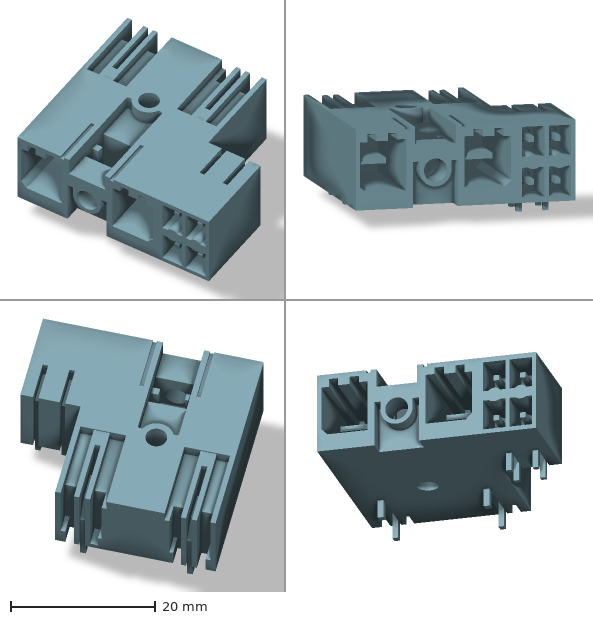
import cadquery as cq


WIDTH = 31.45
DEPTH = 28.3
HEIGHT = 11.42
MAIN_WIDTH = 22.85
WING_DEPTH = 13.35
LEG_LENGTH = 2.58

PITCH = 3.8
CENTRE_X = 11.42
POWER_PITCH = 4 * PITCH
LEFT_POWER_X = CENTRE_X - POWER_PITCH / 2
RIGHT_POWER_X = CENTRE_X + POWER_PITCH / 2
FIRST_SIGNAL_X = 25.45
SIGNAL_X = [FIRST_SIGNAL_X, FIRST_SIGNAL_X + PITCH]

PLATE_THICKNESS = 0.82
POWER_LEG_WIDTH = 1.07
POWER_FRONT_LEG_Y = 19.05
POWER_REAR_Y = POWER_FRONT_LEG_Y + 2 * PITCH + POWER_LEG_WIDTH
BLADE_WIDTH = 4.4
BLADE_BOTTOM = 5.3
BLADE_TOP = 6.1
BLADE_TIP_Y = 6.3
BLADE_REAR_Y = 21.6
PLATE_TOP = 7.55
PLATE_SLOPE_Y = 25.4
PLATE_UNDERSIDE = 2.52

CAVITY_DEPTH = 15.72
CAVITY_OUTER = -3.2
CAVITY_INNER = 3.43
CAVITY_FLOOR = 2.42
CAVITY_CHAMFER = 0.88
CAVITY_OUTER_TOP = 9.53
CAVITY_INNER_TOP = 9.75
CAVITY_RIB_BOTTOM = 9.62
KEYWAY_TOP = 10.7
OUTER_KEYWAY = (-2.15, -0.85)
INNER_KEYWAY = (0.82, 2.17)

RECESS_OUTER = -3.05
RECESS_INNER = 3.45
RECESS_START_Y = 16.65
RECESS_FLOOR = HEIGHT - 1.65
RIB_WIDTH = 2.3
RIB_TOP = HEIGHT - 0.2
REAR_NOTCH_Y = 25.65
REAR_NOTCH_INNER = 2.8
REAR_LEDGE_Z = CAVITY_FLOOR
REAR_OPENING = (-2.4, 2.25)

SILL_THICKNESS = 0.63
SILL_STEP = 0.13
SILL_CURVE_START = -2.33
SILL_CURVE_END = -1.75
SILL_CURVE_RADIUS = 3.15

PIN_SIZE = 0.8
UPPER_PIN_Z = 8.68
LOWER_PIN_Z = 2.67
PIN_TIP_Y = 1.13
LOWER_LEG_Y = 7.6
UPPER_LEG_Y = LOWER_LEG_Y + PITCH
SIGNAL_DEPTH = 6.3
SIGNAL_WIDTH = 3.2
UPPER_CAVITY = (6.35, 10.7)
LOWER_CAVITY = (0.63, 4.95)
KEY_CHORD = 1.57
UPPER_KEY_HEIGHT = 0.38
LOWER_KEY_HEIGHT = 0.25
PIN_COLLAR_BASE_RADIUS = 1.1
PIN_COLLAR_TIP_RADIUS = 0.88
PIN_COLLAR_HEIGHT = 0.63

POCKET_WIDTH = 5.85
POCKET_END_Y = 14.97
POCKET_CORNER = 0.3
MOUNT_HOLE_RADIUS = 1.5
MOUNT_HOLE_Y = 16.0
MOUNT_BOSS_RADIUS = 2.42
SHELF_Z = 9.28
SHELF_START_Y = 8.8
SEAT_Z = 8.77
SEAT_DEPTH = 4.18
SADDLE_START_Y = 5.98
SADDLE_END_Y = 7.0
SADDLE_RADIUS = 1.9
SCREW_Z = 5.2
SCREW_HOLE_RADIUS = 1.65
SCREW_COLLAR_RADIUS = 2.3
PIT_FLOOR = SCREW_Z - SCREW_COLLAR_RADIUS

RELIEF_WIDTH = 6.4
RELIEF_TOP = 6.48
RELIEF_DEPTH = 2.52

GROOVE_OFFSET = 4.05
GROOVE_WIDTH = 0.57
GROOVE_LENGTH = 7.9
GROOVE_DEPTH = 0.4


def block(x, y, z):
    """A box given by its (start, end) range along each axis."""
    size = (x[1] - x[0], y[1] - y[0], z[1] - z[0])
    return cq.Workplane("XY").box(*size, centered=False).translate((x[0], y[0], z[0]))


def around(centre, width):
    """The (start, end) range of the given width about a centre."""
    return (centre - width / 2, centre + width / 2)


def rod(x, z, radius, y):
    """A cylinder along Y."""
    return cq.Workplane("XZ", origin=(x, y[0], z)).circle(radius).extrude(y[0] - y[1])


def u_bar(radius, y, top):
    """A U-shaped bar along Y around the screw axis, with straight sides up to the given height."""
    sides = block(around(CENTRE_X, 2 * radius), y, (SCREW_Z, top))
    return rod(CENTRE_X, SCREW_Z, radius, y).union(sides)


def shell():
    main = block((0, MAIN_WIDTH), (0, DEPTH), (0, HEIGHT))
    wing = block((0, WIDTH), (0, WING_DEPTH), (0, HEIGHT))
    return main.union(wing)


def power_cavity():
    """Keyed mating cavity, at X = 0."""
    return (
        cq.Workplane("XZ")
        .moveTo(CAVITY_OUTER + CAVITY_CHAMFER, CAVITY_FLOOR)
        .lineTo(CAVITY_INNER, CAVITY_FLOOR)
        .lineTo(CAVITY_INNER, CAVITY_INNER_TOP)
        .lineTo(INNER_KEYWAY[1], CAVITY_INNER_TOP)
        .lineTo(INNER_KEYWAY[1], KEYWAY_TOP)
        .lineTo(INNER_KEYWAY[0], KEYWAY_TOP)
        .lineTo(INNER_KEYWAY[0], CAVITY_RIB_BOTTOM)
        .lineTo(OUTER_KEYWAY[1], CAVITY_RIB_BOTTOM)
        .lineTo(OUTER_KEYWAY[1], KEYWAY_TOP)
        .lineTo(OUTER_KEYWAY[0], KEYWAY_TOP)
        .lineTo(OUTER_KEYWAY[0], CAVITY_OUTER_TOP)
        .lineTo(CAVITY_OUTER, CAVITY_OUTER_TOP)
        .lineTo(CAVITY_OUTER, CAVITY_FLOOR + CAVITY_CHAMFER)
        .close()
        .extrude(-CAVITY_DEPTH)
    )


def power_recess():
    """Rear recess with its deep notch, leaving the slotted rib over the contact, at X = 0."""
    recess = block((RECESS_OUTER, RECESS_INNER), (RECESS_START_Y, DEPTH), (RECESS_FLOOR, HEIGHT))
    rear = (REAR_NOTCH_Y, DEPTH)
    notch = block((RECESS_OUTER, REAR_NOTCH_INNER), rear, (REAR_LEDGE_Z, HEIGHT))
    opening = block(REAR_OPENING, rear, (0, HEIGHT))
    rib = block(around(0, RIB_WIDTH), (RECESS_START_Y, DEPTH), (0, RIB_TOP))
    slot = block(around(0, PLATE_THICKNESS), (POWER_FRONT_LEG_Y, DEPTH), (0, HEIGHT))
    return recess.union(notch).union(opening).cut(rib).union(slot)


def power_bay():
    """Everything removed from the housing around one power contact, at X = 0."""
    blade_slot = block(around(0, BLADE_WIDTH), (CAVITY_DEPTH, BLADE_REAR_Y), (BLADE_BOTTOM, BLADE_TOP))
    return power_cavity().union(power_recess()).union(blade_slot)


def rear_sill():
    """Sill with a shallow curved step, between the inner wall and the rib of the right-hand recess."""
    return (
        cq.Workplane("XZ", origin=(RIGHT_POWER_X, REAR_NOTCH_Y, 0))
        .moveTo(-REAR_NOTCH_INNER, 0)
        .lineTo(-REAR_NOTCH_INNER, SILL_THICKNESS)
        .lineTo(SILL_CURVE_START, SILL_THICKNESS)
        .radiusArc((SILL_CURVE_END, SILL_THICKNESS + SILL_STEP), -SILL_CURVE_RADIUS)
        .lineTo(-RIB_WIDTH / 2, SILL_THICKNESS + SILL_STEP)
        .lineTo(-RIB_WIDTH / 2, 0)
        .close()
        .extrude(REAR_NOTCH_Y - DEPTH)
    )


def signal_cavity(x, wall_z, key_z, key_height, pin_z):
    """Cavity with a rounded key on the side facing the other row and a tapered collar around the pin."""
    half_width = SIGNAL_WIDTH / 2
    inward = 1 if wall_z > key_z else -1
    cavity = (
        cq.Workplane("XZ", origin=(x, 0, 0))
        .moveTo(-half_width, wall_z)
        .lineTo(half_width, wall_z)
        .lineTo(half_width, key_z)
        .lineTo(KEY_CHORD / 2, key_z)
        .threePointArc((0, key_z + inward * key_height), (-KEY_CHORD / 2, key_z))
        .lineTo(-half_width, key_z)
        .close()
        .extrude(-SIGNAL_DEPTH)
    )
    collar = (
        cq.Workplane("XZ", origin=(x, SIGNAL_DEPTH, pin_z))
        .circle(PIN_COLLAR_BASE_RADIUS)
        .workplane(offset=PIN_COLLAR_HEIGHT)
        .circle(PIN_COLLAR_TIP_RADIUS)
        .loft()
    )
    return cavity.cut(collar)


def signal_column(x):
    """Both cavities of one signal column and the rear slot that takes their pin legs."""
    upper = signal_cavity(x, UPPER_CAVITY[1], UPPER_CAVITY[0], UPPER_KEY_HEIGHT, UPPER_PIN_Z)
    lower = signal_cavity(x, LOWER_CAVITY[0], LOWER_CAVITY[1], LOWER_KEY_HEIGHT, LOWER_PIN_Z)
    slot = block(around(x, PIN_SIZE), (LOWER_LEG_Y, WING_DEPTH), (0, HEIGHT))
    column = upper.union(lower).union(slot)
    for pin_z in (UPPER_PIN_Z, LOWER_PIN_Z):
        pin_hole = block(around(x, PIN_SIZE), (PIN_TIP_Y, LOWER_LEG_Y), around(pin_z, PIN_SIZE))
        column = column.union(pin_hole)
    return column


def centre_pocket():
    """Open pocket stepping down from the shelf to the pit, with the saddle and the boss left standing."""
    span = around(CENTRE_X, POCKET_WIDTH)
    shelf = block(span, (0, POCKET_END_Y), (SHELF_Z, HEIGHT)).edges("|Z and >Y").fillet(POCKET_CORNER)
    seat = block(span, (0, SHELF_START_Y), (SEAT_Z, HEIGHT))
    pit = block(span, (SEAT_DEPTH, SHELF_START_Y), (PIT_FLOOR, HEIGHT))
    saddle_y = (SADDLE_START_Y, SADDLE_END_Y)
    saddle = block(span, saddle_y, (PIT_FLOOR, SEAT_Z)).cut(u_bar(SADDLE_RADIUS, saddle_y, SEAT_Z))
    boss = cq.Workplane("XY").center(CENTRE_X, MOUNT_HOLE_Y).circle(MOUNT_BOSS_RADIUS).extrude(HEIGHT)
    return shelf.cut(boss).union(seat).union(pit).cut(saddle)


def mount_hole():
    return cq.Workplane("XY").center(CENTRE_X, MOUNT_HOLE_Y).circle(MOUNT_HOLE_RADIUS).extrude(HEIGHT)


def face_relief():
    """Relief in the mating face that leaves the U-shaped screw collar standing."""
    relief_y = (0, RELIEF_DEPTH)
    relief = block(around(CENTRE_X, RELIEF_WIDTH), relief_y, (0, RELIEF_TOP))
    return relief.cut(u_bar(SCREW_COLLAR_RADIUS, relief_y, RELIEF_TOP))


def top_groove(side):
    groove_x = around(CENTRE_X + side * GROOVE_OFFSET, GROOVE_WIDTH)
    return block(groove_x, (0, GROOVE_LENGTH), (HEIGHT - GROOVE_DEPTH, HEIGHT))


def make_housing():
    body = shell()
    body = body.cut(power_bay().translate((LEFT_POWER_X, 0, 0)))
    body = body.cut(power_bay().mirror("YZ").translate((RIGHT_POWER_X, 0, 0)))
    body = body.union(rear_sill())
    for x in SIGNAL_X:
        body = body.cut(signal_column(x))
    body = body.cut(centre_pocket())
    body = body.cut(mount_hole())
    body = body.cut(face_relief())
    body = body.cut(rod(CENTRE_X, SCREW_Z, SCREW_HOLE_RADIUS, (0, SEAT_DEPTH)))
    for side in (-1, 1):
        body = body.cut(top_groove(side))
    return body


def make_power_contact(x):
    """Upright plate with a sloped rear corner and two legs, carrying a flat blade to the front."""
    slope_drop = POWER_REAR_Y - PLATE_SLOPE_Y
    plate = (
        cq.Workplane("YZ", origin=(x - PLATE_THICKNESS / 2, 0, 0))
        .moveTo(POWER_FRONT_LEG_Y, PLATE_UNDERSIDE)
        .lineTo(POWER_REAR_Y, PLATE_UNDERSIDE)
        .lineTo(POWER_REAR_Y, PLATE_TOP - slope_drop)
        .lineTo(PLATE_SLOPE_Y, PLATE_TOP)
        .lineTo(BLADE_REAR_Y, PLATE_TOP)
        .lineTo(BLADE_REAR_Y, BLADE_TOP)
        .lineTo(POWER_FRONT_LEG_Y, BLADE_TOP)
        .close()
        .extrude(PLATE_THICKNESS)
    )
    contact = plate.union(
        block(around(x, BLADE_WIDTH), (BLADE_TIP_Y, BLADE_REAR_Y), (BLADE_BOTTOM, BLADE_TOP))
    )
    for leg_y in (POWER_FRONT_LEG_Y, POWER_REAR_Y - POWER_LEG_WIDTH):
        leg_range = (leg_y, leg_y + POWER_LEG_WIDTH)
        contact = contact.union(block(around(x, PLATE_THICKNESS), leg_range, (-LEG_LENGTH, PLATE_UNDERSIDE)))
    return contact


def make_signal_pin(x, z, leg_y):
    """Square right-angle pin with its leg at the rear."""
    rear_y = leg_y + PIN_SIZE
    bar = block(around(x, PIN_SIZE), (PIN_TIP_Y, rear_y), around(z, PIN_SIZE))
    leg = block(around(x, PIN_SIZE), (leg_y, rear_y), (-LEG_LENGTH, z))
    return bar.union(leg)


housing = make_housing()
power_contacts = [make_power_contact(x) for x in (LEFT_POWER_X, RIGHT_POWER_X)]
signal_pins = []
for x in SIGNAL_X:
    signal_pins.append(make_signal_pin(x, UPPER_PIN_Z, UPPER_LEG_Y))
    signal_pins.append(make_signal_pin(x, LOWER_PIN_Z, LOWER_LEG_Y))

result = cq.Compound.makeCompound(
    [
        housing.solids().val(),
        *[contact.val() for contact in power_contacts],
        *[pin.val() for pin in signal_pins],
    ]
)